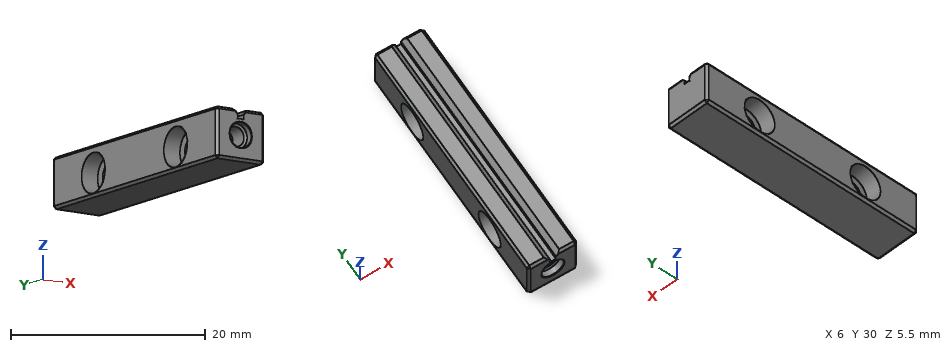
import cadquery as cq
import math

width = 6.0
length = 30.0
height = 5.5
edge_chamfer = 0.3

groove_width = 0.72
groove_depth = 1.05
groove_mouth_width = 1.85
groove_flare_depth = (groove_mouth_width - groove_width) / 2

cross_hole_diameter = 2.5
counterbore_diameter = 4.3
counterbore_depth = 2.0
cross_hole_spacing = 15.0
cross_hole_height = 2.5

entry_diameter = 2.7
core_diameter = 2.13
mouth_diameter = 2.82
end_hole_height = height / 2
entry_depth = 0.8
core_depth = 3.0
drill_point_angle = 118.0


def make_bar():
    """Bar standing on Z = 0, centred in X and Y, with every outer edge chamfered."""
    bar = cq.Workplane("XY").box(width, length, height, centered=(True, True, False))
    return bar.edges().chamfer(edge_chamfer)


def make_groove():
    """Full-length slot with a mouth flared at 45 degrees."""
    slot_half = groove_width / 2
    mouth_half = groove_mouth_width / 2
    floor = height - groove_depth
    flare_start = height - groove_flare_depth
    return (
        cq.Workplane("XZ")
        .polyline([
            (-slot_half, floor),
            (slot_half, floor),
            (slot_half, flare_start),
            (mouth_half, height),
            (-mouth_half, height),
            (-slot_half, flare_start),
        ])
        .close()
        .extrude(length / 2, both=True)
    )


def make_cross_hole(y):
    """Through hole along X, counterbored from the -X side."""
    start = cq.Workplane("YZ", origin=(-width / 2, y, cross_hole_height))
    through = start.circle(cross_hole_diameter / 2).extrude(width)
    counterbore = start.circle(counterbore_diameter / 2).extrude(counterbore_depth)
    return through.union(counterbore)


def make_end_hole():
    """Blind hole along Y with a chamfered mouth, a bore narrowing over a conical step and a drill point."""
    front = -length / 2
    mouth_radius = mouth_diameter / 2
    entry_radius = entry_diameter / 2
    core_radius = core_diameter / 2
    mouth_depth = mouth_radius - entry_radius
    cone_slope = math.tan(math.radians(drill_point_angle / 2))
    step_length = (entry_radius - core_radius) / cone_slope
    point_length = core_radius / cone_slope
    profile = (
        cq.Workplane("XY", origin=(0, front, end_hole_height))
        .polyline([
            (0, 0),
            (mouth_radius, 0),
            (entry_radius, mouth_depth),
            (entry_radius, entry_depth),
            (core_radius, entry_depth + step_length),
            (core_radius, core_depth),
            (0, core_depth + point_length),
        ])
        .close()
    )
    return profile.revolve(360, (0, 0, 0), (0, 1, 0))


result = make_bar().cut(make_groove()).cut(make_end_hole())
for side in (-1, 1):
    result = result.cut(make_cross_hole(side * cross_hole_spacing / 2))